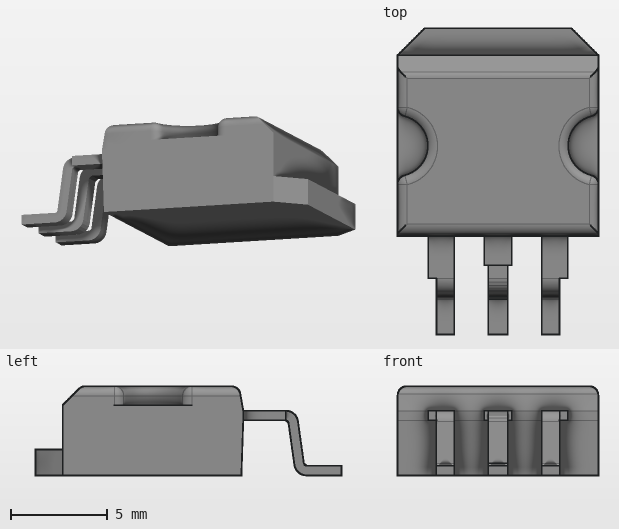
import cadquery as cq
import math


package_width = 10.4
package_depth = 9.35
package_height = 4.63
edge_radius = 0.49
step_height = 0.98
notch_radius = 1.57
notch_y = 4.68

lead_thickness = 0.5
lead_top = 3.36
lead_bottom = lead_top - lead_thickness
upper_draft = 10.0
base_setback = 0.1

tab_length = 1.41
tab_thickness = 1.35

total_length = 15.85
lead_end_y = package_depth + tab_length - total_length
bend_y = -2.19
web_lean = 8.0
inner_radius = 0.15
outer_radius = inner_radius + lead_thickness

outer_lead_inside_x = 2.25
outer_lead_width = 0.94
shoulder_width = 1.36

centre_lead_width = 1.03
stub_width = 1.43
stub_end_y = -1.5
outer_facets = 5
inner_facets = 1


def lead_slab(x_min, width, end_y):
    """Flat piece of the lead strip, from the front wall out to end_y."""
    slab = cq.Workplane("XY").box(width, -end_y, lead_thickness, centered=False)
    return slab.translate((x_min, end_y, lead_bottom))


def extrude_side_profile(profile, x_min, width):
    """Extrude a closed YZ profile along +X from x_min."""
    return profile.extrude(width).translate((x_min, 0, 0))


def on_arc(centre, radius, angle):
    """Point on an arc; the angle is in degrees, from straight up towards -Y."""
    turn = math.radians(angle)
    return (centre[0] - radius * math.sin(turn), centre[1] + radius * math.cos(turn))


def add_bend(path, centre, radius, start, end, facets):
    """Continue a profile round a bend: a true arc, or a number of chords if facets > 0."""
    if facets == 0:
        return path.threePointArc(
            on_arc(centre, radius, (start + end) / 2), on_arc(centre, radius, end)
        )
    for i in range(1, facets + 1):
        path = path.lineTo(*on_arc(centre, radius, start + (end - start) * i / facets))
    return path


def gull_wing(start_y, x_min, width, outside=0, inside=0):
    """Bent lead from start_y to the foot end; outside and inside are the facets of its bends."""
    lean = math.radians(web_lean)
    turn = 90 - web_lean
    upper = (bend_y, lead_top - outer_radius)
    drop = upper[1] - outer_radius
    run = (drop * math.sin(lean) + outer_radius + inner_radius) / math.cos(lean)
    lower = (bend_y - run, outer_radius)

    path = cq.Workplane("YZ").moveTo(start_y, lead_top).lineTo(bend_y, lead_top)
    path = add_bend(path, upper, outer_radius, 0, turn, outside)
    path = path.lineTo(*on_arc(lower, inner_radius, turn + 180))
    path = add_bend(path, lower, inner_radius, turn + 180, 180, inside)
    path = path.lineTo(lead_end_y, lead_thickness)

    path = path.lineTo(lead_end_y, 0).lineTo(lower[0], 0)
    path = add_bend(path, lower, outer_radius, 180, turn + 180, outside)
    path = path.lineTo(*on_arc(upper, inner_radius, turn))
    path = add_bend(path, upper, inner_radius, turn, 0, inside)
    path = path.lineTo(start_y, lead_bottom).close()
    return extrude_side_profile(path, x_min, width)


def moulding():
    """Package block with its bevelled rear, side notches and rounded upper edges."""
    half_width = package_width / 2
    top_setback = (package_height - lead_top) * math.tan(math.radians(upper_draft))
    profile = cq.Workplane("YZ").polyline([
        (base_setback, 0),
        (0, lead_bottom),
        (0, lead_top),
        (top_setback, package_height),
        (package_depth - step_height, package_height),
        (package_depth, package_height - step_height),
        (package_depth, 0),
    ]).close()
    body = extrude_side_profile(profile, -half_width, package_width)

    notches = (
        cq.Workplane("XY", origin=(0, 0, package_height - step_height))
        .pushPoints([(-half_width, notch_y), (half_width, notch_y)])
        .circle(notch_radius)
        .extrude(step_height)
    )
    body = body.cut(notches)
    for x in (-half_width, half_width):
        for y in (notch_y - notch_radius, notch_y + notch_radius):
            corner = cq.selectors.NearestToPointSelector((x, y, package_height - step_height / 2))
            body = body.edges("|Z").edges(corner).fillet(edge_radius)
    return body.faces(">Z").edges().fillet(edge_radius)


def tab():
    """Heat-sink tab, a plate that narrows to the rear."""
    half_width = package_width / 2
    rear_y = package_depth + tab_length
    rear_half_width = half_width - tab_length
    outline = cq.Workplane("XY").polyline([
        (-half_width, package_depth),
        (half_width, package_depth),
        (rear_half_width, rear_y),
        (-rear_half_width, rear_y),
    ]).close()
    return outline.extrude(tab_thickness)


def outer_lead():
    """Lead on the +X side, with a wide shoulder next to the package."""
    shoulder = lead_slab(outer_lead_inside_x, shoulder_width, bend_y)
    return gull_wing(0, outer_lead_inside_x, outer_lead_width).union(shoulder)


def package():
    """Package body: moulding, tab, outer leads and centre stub in one solid."""
    right_lead = outer_lead()
    stub = lead_slab(-stub_width / 2, stub_width, stub_end_y)
    return (
        moulding()
        .union(tab())
        .union(right_lead)
        .union(right_lead.mirror("YZ"))
        .union(stub)
    )


def centre_lead():
    """Faceted gull-wing lead that starts at the end of the stub."""
    return gull_wing(
        stub_end_y, -centre_lead_width / 2, centre_lead_width, outer_facets, inner_facets
    )


housing = package()
middle_lead = centre_lead()
result = cq.Compound.makeCompound([housing.val(), middle_lead.val()])